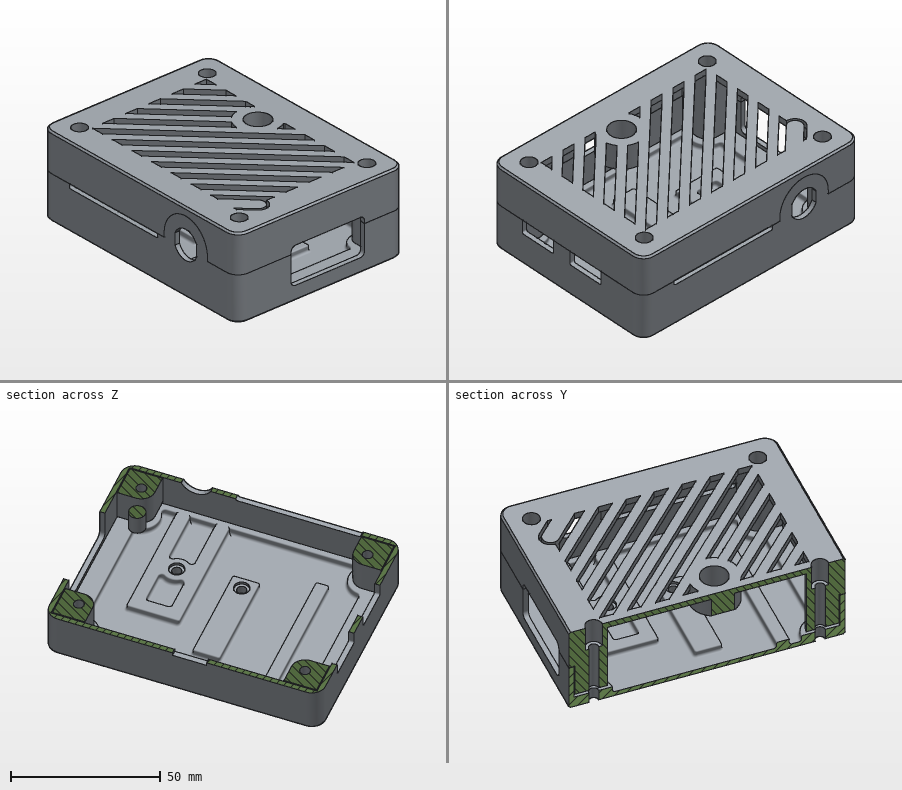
import cadquery as cq
import math

LENGTH = 99.7
WIDTH = 74.8
HEIGHT = 34.5
CORNER_RADIUS = 5.0
EDGE_CHAMFER = 0.7
WALL = 2.0
SPLIT_Z = 18.4
LID_THICKNESS = 2.5
LID_UNDERSIDE_Z = HEIGHT - LID_THICKNESS
INNER_X = LENGTH / 2 - WALL
INNER_Y = WIDTH / 2 - WALL

SCREW_X = 40.8
SCREW_Y = 28.3
POST_RADIUS = 5.0
LEG_BOTTOM_Z = 5.5
LEG_CLEARANCE = 0.2
SCREW_HOLE_DIAMETER = 3.5
SCREW_HEAD_DIAMETER = 6.0
SCREW_HEAD_DEPTH = 10.0

FLOOR_Z = 4.5
POCKET_Z = 2.0
POCKET_X = 40.7
POCKET_Y = 33.1
POCKET_SCREW_RADIUS = 6.8
POCKET_FOOT_RADIUS = 1.0
POCKET_RIM_RADIUS = 0.5
POCKET_CORNER_RADIUS = 1.2
ISLAND_CORNER_RADIUS = 0.8

RAIL_LEFT = -29.7
RAIL_RIGHT = -25.0
RAIL_FRONT = -21.3
PAD_LEFT = -7.8
PAD_RIGHT = 2.0
PAD_FRONT = -13.9
PAD_BACK = 22.8
FRAME_LEFT = 11.0
FRAME_RIGHT = 30.1
FRAME_BACK = 12.2
FRAME_BAR = 5.0
FRAME_BOSS_DIAMETER = 10.0

BOARD_HOLE_Y = -9.5
BOARD_HOLE_DIAMETER = 3.4
BOARD_RECESS_DIAMETER = 5.5
BOARD_RECESS_DEPTH = 1.0

WINDOW_WIDTH = 15.3
WINDOW_BOTTOM = 12.8
WINDOW_CENTERS_Y = (14.3, -9.2)
PORT_CORNER_RADIUS = 0.7
PORT_SLOT_LEFT = -35.5
PORT_SLOT_RIGHT = 9.6
PORT_SLOT_BOTTOM = 16.6

BACK_OPENING_LEFT = -8.8
BACK_OPENING_RIGHT = 3.4
BACK_OPENING_BOTTOM = 16.1
BACK_OPENING_TOP = 23.9
SIDE_OPENING_FRONT = -13.2
SIDE_OPENING_BACK = 19.4
SIDE_OPENING_BOTTOM = 6.0
SIDE_OPENING_TOP = 21.4
SIDE_OPENING_RADIUS = 2.0

CONNECTOR_X = 23.9
CONNECTOR_Z = 20.1
CONNECTOR_DIAMETER = 12.0
CONNECTOR_FLAT_WIDTH = 11.0
ARCH_RADIUS = 11.1

GRILLE_ANGLE = 45.5
GRILLE_LENGTH = 75.8
GRILLE_WIDTH = 50.8
GRILLE_PITCH = 10.1
GRILLE_GAP = 5.1
FIRST_SLOT = -6
LAST_SLOT = 5

TUBE_X = -5.8
TUBE_Y = 20.4
TUBE_OUTER_DIAMETER = 18.0
TUBE_INNER_DIAMETER = 10.0
TUBE_BOTTOM_Z = 24.5

BUTTON_X = 38.1
BUTTON_Y = -17.7
BUTTON_DIAMETER = 6.0
BUTTON_GAP = 1.0
BUTTON_BOTTOM_Z = 10.0


def box(x_min, x_max, y_min, y_max, z_min, z_max):
    size = (x_max - x_min, y_max - y_min, z_max - z_min)
    return cq.Workplane("XY").box(*size, centered=False).translate((x_min, y_min, z_min))


def cylinder(x, y, diameter, z_min, z_max):
    return cq.Workplane("XY", origin=(x, y, z_min)).circle(diameter / 2).extrude(z_max - z_min)


def outer_block(z_min, z_max):
    block = box(-LENGTH / 2, LENGTH / 2, -WIDTH / 2, WIDTH / 2, z_min, z_max)
    return block.edges("|Z").fillet(CORNER_RADIUS)


def corner_posts(reach_x, reach_y, z_min, z_max):
    """Four corner posts that reach outward to the given distances from the middle."""
    posts = cq.Workplane("XY")
    for side_x in (-1, 1):
        for side_y in (-1, 1):
            near = (side_x * (SCREW_X - POST_RADIUS), side_y * (SCREW_Y - POST_RADIUS))
            x_range = sorted((near[0], side_x * reach_x))
            y_range = sorted((near[1], side_y * reach_y))
            inner_edge = cq.NearestToPointSelector((*near, (z_min + z_max) / 2))
            post = box(*x_range, *y_range, z_min, z_max)
            post = post.edges("|Z").edges(inner_edge).fillet(POST_RADIUS)
            posts = posts.add(post)
    return posts.combine()


def cavity(z_min, z_max):
    return box(-INNER_X, INNER_X, -INNER_Y, INNER_Y, z_min, z_max)


def screw_cylinders(diameter, z_min, z_max):
    centers = cq.Workplane("XY", origin=(0, 0, z_min)).rect(2 * SCREW_X, 2 * SCREW_Y, forConstruction=True)
    return centers.vertices().circle(diameter / 2).extrude(z_max - z_min)


PAD_CENTER_X = (PAD_LEFT + PAD_RIGHT) / 2
FRAME_CENTER_X = (FRAME_LEFT + FRAME_RIGHT) / 2


def frame_island():
    z_range = (POCKET_Z, FLOOR_Z)
    frame = box(FRAME_LEFT, FRAME_RIGHT, -INNER_Y, FRAME_BACK, *z_range)
    frame = frame.edges("|Z").edges(">Y").fillet(ISLAND_CORNER_RADIUS)
    slot_sides = (FRAME_LEFT + FRAME_BAR, FRAME_RIGHT - FRAME_BAR)
    slots = box(*slot_sides, -INNER_Y, FRAME_BACK - FRAME_BAR, *z_range)
    boss = cylinder(FRAME_CENTER_X, BOARD_HOLE_Y, FRAME_BOSS_DIAMETER, *z_range)
    slots = slots.cut(boss).edges("|Z").edges(">Y or (not <Y)").fillet(POCKET_CORNER_RADIUS)
    return frame.cut(slots)


def floor_pocket():
    z_range = (POCKET_Z, FLOOR_Z)
    pocket = box(-POCKET_X, POCKET_X, -POCKET_Y, POCKET_Y, *z_range)
    pocket = pocket.cut(screw_cylinders(2 * POCKET_SCREW_RADIUS, *z_range))
    pocket = pocket.edges("|Z").fillet(POCKET_CORNER_RADIUS)
    rail = box(RAIL_LEFT, RAIL_RIGHT, RAIL_FRONT, INNER_Y, *z_range)
    rail = rail.edges("|Z").edges("<Y").fillet(ISLAND_CORNER_RADIUS)
    pad = box(PAD_LEFT, PAD_RIGHT, PAD_FRONT, PAD_BACK, *z_range).edges("|Z").fillet(ISLAND_CORNER_RADIUS)
    pocket = pocket.cut(rail).cut(pad).cut(frame_island())
    return pocket.faces("<Z").edges().fillet(POCKET_FOOT_RADIUS)


def base_floor():
    floor = outer_block(0, FLOOR_Z).faces("<Z").chamfer(EDGE_CHAMFER).cut(floor_pocket())
    inside_floor = cq.selectors.BoxSelector(
        (-INNER_X, -INNER_Y, FLOOR_Z - 0.1), (INNER_X, INNER_Y, FLOOR_Z + 0.1)
    )
    floor = floor.edges(inside_floor).fillet(POCKET_RIM_RADIUS)
    for x in (PAD_CENTER_X, FRAME_CENTER_X):
        floor = floor.cut(cylinder(x, BOARD_HOLE_Y, BOARD_HOLE_DIAMETER, 0, FLOOR_Z))
        floor = floor.cut(
            cylinder(x, BOARD_HOLE_Y, BOARD_RECESS_DIAMETER, FLOOR_Z - BOARD_RECESS_DEPTH, FLOOR_Z)
        )
    return floor


def arch():
    """Part of the front wall around the connector, up to the arch."""
    y_range = (-WIDTH / 2, -INNER_Y)
    left = CONNECTOR_X - ARCH_RADIUS
    right = CONNECTOR_X + ARCH_RADIUS
    outline = (
        cq.Workplane("XZ", origin=(0, y_range[1], 0))
        .moveTo(left, SPLIT_Z)
        .lineTo(left, CONNECTOR_Z)
        .threePointArc((CONNECTOR_X, CONNECTOR_Z + ARCH_RADIUS), (right, CONNECTOR_Z))
        .lineTo(right, SPLIT_Z)
        .close()
    )
    return outline.extrude(WALL)


def connector_hole():
    hole = cq.Workplane("XZ", origin=(CONNECTOR_X, -INNER_Y, CONNECTOR_Z)).circle(CONNECTOR_DIAMETER / 2)
    flats = box(
        CONNECTOR_X - CONNECTOR_FLAT_WIDTH / 2, CONNECTOR_X + CONNECTOR_FLAT_WIDTH / 2,
        -WIDTH / 2, -INNER_Y, 0, HEIGHT,
    )
    return hole.extrude(WALL).intersect(flats)


def wall_openings():
    front = (-WIDTH / 2, -INNER_Y)
    left = (-LENGTH / 2, -INNER_X)
    openings = box(PORT_SLOT_LEFT, PORT_SLOT_RIGHT, *front, PORT_SLOT_BOTTOM, SPLIT_Z)
    openings = openings.edges("|Y and <Z").fillet(PORT_CORNER_RADIUS)
    for y in WINDOW_CENTERS_Y:
        window = box(*left, y - WINDOW_WIDTH / 2, y + WINDOW_WIDTH / 2, WINDOW_BOTTOM, SPLIT_Z)
        openings = openings.add(window.edges("|X and <Z").fillet(PORT_CORNER_RADIUS))
    return openings.combine()


def split_crossing_openings():
    back = box(
        BACK_OPENING_LEFT, BACK_OPENING_RIGHT, INNER_Y, WIDTH / 2, BACK_OPENING_BOTTOM, BACK_OPENING_TOP
    )
    side = box(
        INNER_X, LENGTH / 2, SIDE_OPENING_FRONT, SIDE_OPENING_BACK, SIDE_OPENING_BOTTOM, SIDE_OPENING_TOP
    )
    return back.add(side.edges("|X").fillet(SIDE_OPENING_RADIUS)).combine()


def make_base():
    walls = outer_block(FLOOR_Z, SPLIT_Z).cut(cavity(FLOOR_Z, SPLIT_Z))
    base = base_floor().union(walls).union(arch())
    base = base.cut(connector_hole()).cut(wall_openings()).cut(split_crossing_openings())
    return base.cut(screw_cylinders(SCREW_HOLE_DIAMETER, 0, SPLIT_Z))


def tongue(diameter, z_min, z_max):
    """Stadium running from the button tip toward the front left along the slots."""
    reach = GRILLE_WIDTH
    bar = box(-reach, 0, -diameter / 2, diameter / 2, z_min, z_max)
    bar = bar.rotate((0, 0, 0), (0, 0, 1), GRILLE_ANGLE).translate((BUTTON_X, BUTTON_Y, 0))
    return bar.union(cylinder(BUTTON_X, BUTTON_Y, diameter, z_min, z_max))


def grille():
    """Cut through the lid: the slots and the gap round the button tongue."""
    z_range = (LID_UNDERSIDE_Z, HEIGHT)
    half_width = GRILLE_WIDTH / 2
    window = box(-GRILLE_LENGTH / 2, GRILLE_LENGTH / 2, -half_width, half_width, *z_range)
    slots = cq.Workplane("XY", origin=(0, 0, LID_UNDERSIDE_Z))
    half_gap = GRILLE_GAP / 2
    half_run = half_width / math.tan(math.radians(GRILLE_ANGLE))
    for index in range(FIRST_SLOT, LAST_SLOT + 1):
        x = index * GRILLE_PITCH
        slots = slots.polyline([
            (x - half_gap - half_run, -half_width),
            (x + half_gap - half_run, -half_width),
            (x + half_gap + half_run, half_width),
            (x - half_gap + half_run, half_width),
        ]).close()
    slots = slots.extrude(LID_THICKNESS).intersect(window)
    button_gap = tongue(BUTTON_DIAMETER + 2 * BUTTON_GAP, *z_range)
    above_front = box(0, LENGTH / 2, -half_width, half_width, *z_range)
    slots = slots.union(button_gap.intersect(above_front))
    slots = slots.cut(tongue(BUTTON_DIAMETER, *z_range))
    return slots.cut(cylinder(TUBE_X, TUBE_Y, TUBE_OUTER_DIAMETER, *z_range))


def legs():
    """Lower ends of the corner posts, standing clear of the base walls."""
    reach_x = INNER_X - LEG_CLEARANCE
    reach_y = INNER_Y - LEG_CLEARANCE
    return corner_posts(reach_x, reach_y, LEG_BOTTOM_Z, SPLIT_Z)


def make_lid():
    lid = outer_block(SPLIT_Z, HEIGHT).faces(">Z").chamfer(EDGE_CHAMFER)
    lid = lid.cut(cavity(SPLIT_Z, LID_UNDERSIDE_Z))
    lid = lid.union(corner_posts(INNER_X, INNER_Y, SPLIT_Z, LID_UNDERSIDE_Z)).union(legs())
    lid = lid.cut(arch()).cut(split_crossing_openings()).cut(grille())
    lid = lid.union(cylinder(TUBE_X, TUBE_Y, TUBE_OUTER_DIAMETER, TUBE_BOTTOM_Z, LID_UNDERSIDE_Z))
    lid = lid.cut(cylinder(TUBE_X, TUBE_Y, TUBE_INNER_DIAMETER, TUBE_BOTTOM_Z, HEIGHT))
    lid = lid.union(cylinder(BUTTON_X, BUTTON_Y, BUTTON_DIAMETER, BUTTON_BOTTOM_Z, LID_UNDERSIDE_Z))
    lid = lid.cut(screw_cylinders(SCREW_HOLE_DIAMETER, LEG_BOTTOM_Z, HEIGHT))
    return lid.cut(screw_cylinders(SCREW_HEAD_DIAMETER, HEIGHT - SCREW_HEAD_DEPTH, HEIGHT))


base = make_base()
lid = make_lid()
result = cq.Compound.makeCompound([base.val(), lid.val()])